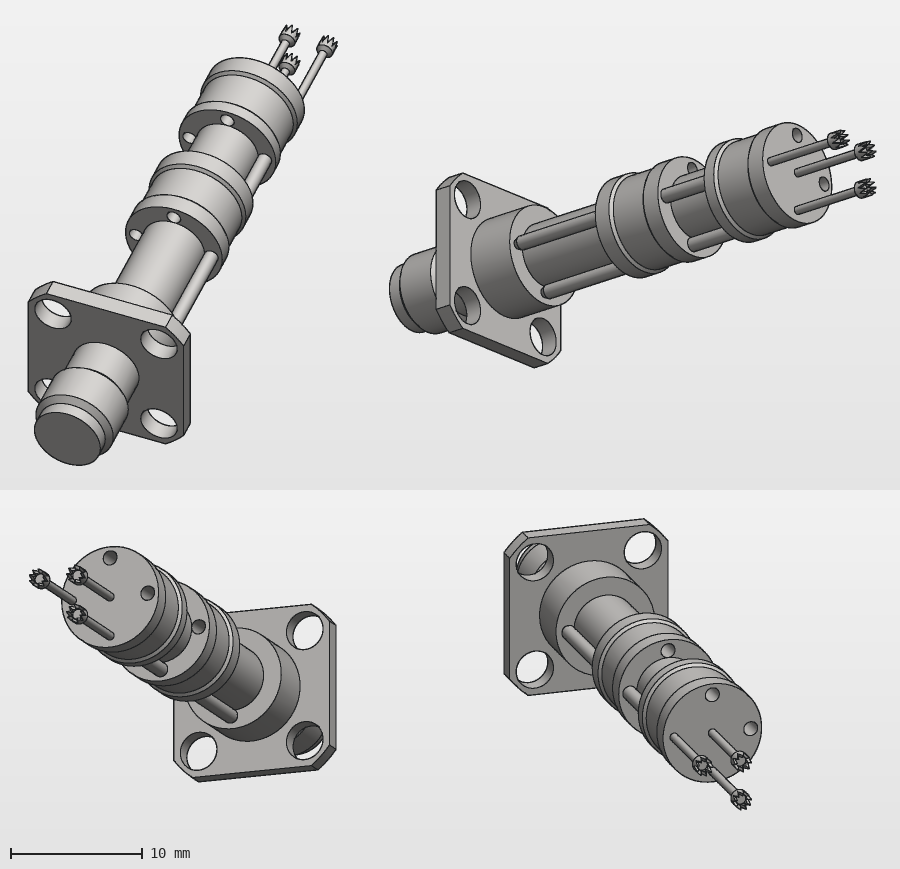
import cadquery as cq
import math

overall_length = 46.5

flange_side = 12.7
flange_corner_radius = 8.0
flange_front = 8.0
flange_thickness = 1.4
flange_hole_radius = 1.5
flange_hole_offset = 4.32

plug_radius = 2.7
plug_band_radius = 3.15
plug_chamfer = plug_band_radius - plug_radius
plug_band_start = 1.0
plug_band_end = 5.05

collar_radius = 3.95
collar_length = 3.95
shaft_radius = 2.5
groove_depth = 0.25
rear_rim = 1.5
groove_length = 3.5
middle_ring_front = 22.05
middle_ring_front_rim = 1.4
rear_ring_front = 33.1
rear_ring_front_rim = 0.98

rod_offset = 3.05
rod_radius = 0.55
rod_tip_chamfer = 0.2
rod_tip_length = 0.4

pin_radius = 0.33
head_radius = 0.65
head_length = 1.35
head_taper = 0.3
tooth_depth = 0.7
head_bore_radius = 0.4
tooth_tip_width = 0.05
center_pin_teeth = 8
outer_pin_teeth = 9

flange_back = flange_front + flange_thickness
collar_back = flange_back + collar_length


def ring_back(front, front_rim):
    return front + front_rim + groove_length + rear_rim


rear_ring_back = ring_back(rear_ring_front, rear_ring_front_rim)


def cylinder(radius, start, end, x=0, z=0):
    """Cylinder along +Y from start to end."""
    center = cq.Vector(x, start, z)
    return cq.Workplane(cq.Solid.makeCylinder(radius, end - start, center, cq.Vector(0, 1, 0)))


def turned(profile):
    """Solid turned about the Y axis from (radius, y) points."""
    axis_points = [(0, profile[0][1])] + profile + [(0, profile[-1][1])]
    return cq.Workplane("XY").polyline(axis_points).close().revolve(360, (0, 0), (0, 1))


def make_flange():
    square = cq.Workplane("XY").box(flange_side, flange_thickness, flange_side)
    square = square.translate((0, (flange_front + flange_back) / 2, 0))
    flange = square.intersect(cylinder(flange_corner_radius, flange_front, flange_back))
    for x in (-flange_hole_offset, flange_hole_offset):
        for z in (-flange_hole_offset, flange_hole_offset):
            flange = flange.cut(cylinder(flange_hole_radius, flange_front, flange_back, x, z))
    return flange


def make_plug():
    return turned([
        (plug_radius, 0),
        (plug_radius, plug_band_start),
        (plug_band_radius, plug_band_start + plug_chamfer),
        (plug_band_radius, plug_band_end - plug_chamfer),
        (plug_radius, plug_band_end),
        (plug_radius, flange_front),
    ])


def make_ring(front, front_rim):
    """Ring with a chamfer-sided groove and open guide holes on the -X and +Z sides."""
    groove_start = front + front_rim
    groove_end = groove_start + groove_length
    back = ring_back(front, front_rim)
    groove_radius = collar_radius - groove_depth
    ring = turned([
        (collar_radius, front),
        (collar_radius, groove_start),
        (groove_radius, groove_start + groove_depth),
        (groove_radius, groove_end - groove_depth),
        (collar_radius, groove_end),
        (collar_radius, back),
    ])
    for x, z in ((-rod_offset, 0), (0, rod_offset)):
        ring = ring.cut(cylinder(rod_radius, front, back, x, z))
    return ring


def make_rod():
    """Guide rod with a tapered tip resting on the collar."""
    return turned([
        (rod_radius - rod_tip_chamfer, collar_back),
        (rod_radius, collar_back + rod_tip_length),
        (rod_radius, rear_ring_front),
    ])


def make_pin(teeth, first_tooth_angle):
    """Contact pin whose head carries a hollow crown of teeth cut by radial V notches."""
    head_front = overall_length - head_length
    pin = turned([
        (pin_radius, rear_ring_back),
        (pin_radius, head_front),
        (head_radius, head_front + head_taper),
        (head_radius, overall_length),
    ])
    pin = pin.cut(cylinder(head_bore_radius, overall_length - tooth_depth, overall_length))
    pitch = 360 / teeth
    half_width = head_radius * math.sin(math.pi / teeth) - tooth_tip_width / 2
    notch = (
        cq.Workplane("YZ")
        .polyline([
            (overall_length, -half_width),
            (overall_length, half_width),
            (overall_length - tooth_depth, 0),
        ])
        .close()
        .extrude(2 * head_radius)
    )
    for i in range(teeth):
        angle = first_tooth_angle + (i + 0.5) * pitch
        pin = pin.cut(notch.rotate((0, 0, 0), (0, 1, 0), angle))
    return pin


result = make_flange().union(make_plug())
result = result.union(cylinder(collar_radius, flange_back, collar_back))
result = result.union(make_ring(middle_ring_front, middle_ring_front_rim))
result = result.union(make_ring(rear_ring_front, rear_ring_front_rim))
result = result.union(cylinder(shaft_radius, collar_back, rear_ring_back))
result = result.union(make_pin(center_pin_teeth, 0))

for x, z, inward_angle in ((rod_offset, 0, 180), (0, -rod_offset, -90)):
    result = result.union(make_rod().translate((x, 0, z)))
    result = result.union(make_pin(outer_pin_teeth, inward_angle).translate((x, 0, z)))